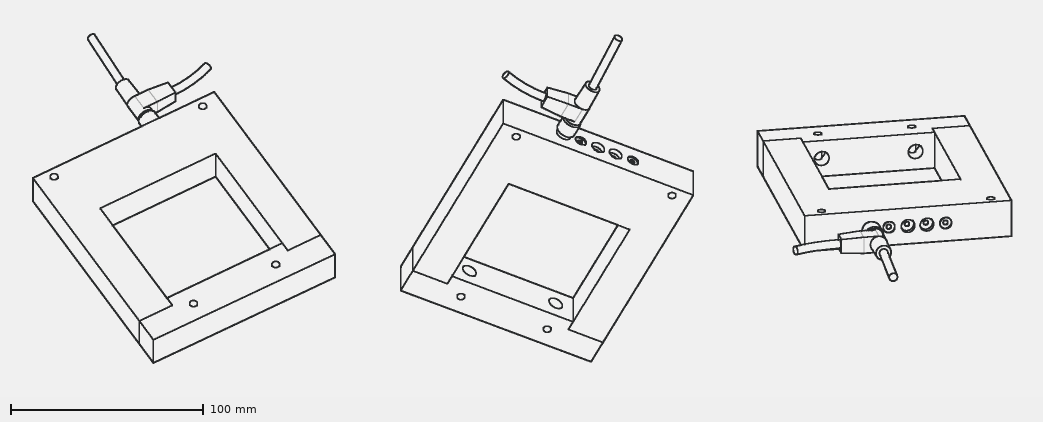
import cadquery as cq
import math


overall_length = 193.2
thickness = 20.0
frame_width = 110.0
frame_length = 123.3
end_face_slant = 0.4
opening_start = 35.0
opening_width = 70.0
opening_end = 103.0
leg_length = 108.5

mount_hole_diameter = 4.0
frame_mount_x = 5.0
frame_mount_y = 45.0
bar_mount_x = 113.2
bar_mount_y = 25.0

sensor_hole_diameter = 7.7
sensor_hole_depth = 10.0
sensor_hole_y = bar_mount_y

indicator_diameter = 1.5
indicator_depth = 0.4
indicator_y = 32.8

port_pitch = 10.0
port_bore_diameter = 2.5
port_bore_depth = 0.5
large_port_diameter = 7.1
large_port_depth = 2.7
small_port_diameter = 6.2
small_port_depth = 0.8
connector_y = 2 * port_pitch

stub_length = 2.7
stub_diameter = 8.0
nut_length = 7.3
nut_diameter = 10.0
neck_length = 1.2
neck_diameter = 6.2

core_length = 11.2
core_diameter = 9.0
arm_width = 9.3
arm_straight_length = 8.1
arm_taper_length = 11.5
arm_end_size = 7.7

grip_length = 12.5
grip_root_diameter = 8.9
grip_end_diameter = 8.1

cable_diameter = 4.5
straight_cable_end_x = frame_length - overall_length
straight_cable_shift = 2.0
bent_cable_radius = 65.7
bent_cable_angle = 22.0

nut_start_x = -stub_length
neck_start_x = nut_start_x - nut_length
core_start_x = neck_start_x - neck_length
core_end_x = core_start_x - core_length
grip_end_x = core_end_x - grip_length
arm_center_x = core_end_x + arm_width / 2
arm_taper_y = connector_y + arm_straight_length
arm_end_y = arm_taper_y + arm_taper_length


def axial_cylinder(diameter, x_start, length, y, direction=-1):
    """Cylinder along X that starts at x_start."""
    start = cq.Vector(x_start, y, 0)
    solid = cq.Solid.makeCylinder(diameter / 2, length, start, cq.Vector(direction, 0, 0))
    return cq.Workplane(solid)


def slab(points):
    """Plate of the full thickness, centred on Z = 0."""
    return cq.Workplane("XY").polyline(points).close().extrude(thickness / 2, both=True)


def drill_mount_holes(body, x, y):
    drills = (
        cq.Workplane("XY")
        .pushPoints([(x, y), (x, -y)])
        .circle(mount_hole_diameter / 2)
        .extrude(thickness, both=True)
    )
    return body.cut(drills)


def cut_port(body, y, diameter, depth):
    """Round recess in the cable-side face with a small bore in its floor."""
    recess = axial_cylinder(diameter, 0, depth, y, direction=1)
    bore = axial_cylinder(port_bore_diameter, depth, port_bore_depth, y, direction=1)
    return body.cut(recess).cut(bore)


def make_frame():
    half_width = frame_width / 2
    half_opening = opening_width / 2
    body = slab([
        (0, -half_width),
        (leg_length, -half_width),
        (leg_length, -half_opening),
        (opening_start, -half_opening),
        (opening_start, half_opening),
        (leg_length, half_opening),
        (leg_length, half_width),
        (0, half_width),
    ])
    body = drill_mount_holes(body, frame_mount_x, frame_mount_y)
    for side in (-1, 0):
        body = cut_port(body, side * port_pitch, large_port_diameter, large_port_depth)
    for side in (-2, 1):
        body = cut_port(body, side * port_pitch, small_port_diameter, small_port_depth)
    return body


def make_end_bar():
    half_width = frame_width / 2
    half_opening = opening_width / 2
    body = slab([
        (leg_length, -half_width),
        (frame_length - end_face_slant, -half_width),
        (frame_length, half_width),
        (leg_length, half_width),
        (leg_length, half_opening),
        (opening_end, half_opening),
        (opening_end, -half_opening),
        (leg_length, -half_opening),
    ])
    body = drill_mount_holes(body, bar_mount_x, bar_mount_y)
    for y in (-sensor_hole_y, sensor_hole_y):
        sensor_hole = axial_cylinder(sensor_hole_diameter, opening_end, sensor_hole_depth, y, direction=1)
        body = body.cut(sensor_hole)
    indicator = axial_cylinder(indicator_diameter, opening_end, indicator_depth, indicator_y, direction=1)
    return body.cut(indicator)


def make_socket():
    stub = axial_cylinder(stub_diameter, 0, stub_length, connector_y)
    nut = axial_cylinder(nut_diameter, nut_start_x, nut_length, connector_y)
    neck = axial_cylinder(neck_diameter, neck_start_x, neck_length, connector_y)
    return stub.union(nut).union(neck)


def make_bent_cable():
    """Cable that leaves the arm along +Y and curves towards -X."""

    def arc_point(angle):
        turn = math.radians(angle)
        x = arm_center_x - bent_cable_radius * (1 - math.cos(turn))
        return (x, arm_end_y + bent_cable_radius * math.sin(turn))

    path = (
        cq.Workplane("XY")
        .moveTo(*arc_point(0))
        .threePointArc(arc_point(bent_cable_angle / 2), arc_point(bent_cable_angle))
    )
    start_plane = cq.Plane((arm_center_x, arm_end_y, 0), xDir=(1, 0, 0), normal=(0, 1, 0))
    return cq.Workplane(start_plane).circle(cable_diameter / 2).sweep(path)


def make_elbow_plug():
    core = axial_cylinder(core_diameter, core_start_x, core_length, connector_y)
    arm_plane = cq.Plane((arm_center_x, connector_y, 0), xDir=(1, 0, 0), normal=(0, 1, 0))
    arm = cq.Workplane(arm_plane).rect(arm_width, core_diameter).extrude(arm_straight_length)
    taper = (
        arm.faces(">Y").workplane()
        .rect(arm_width, core_diameter)
        .workplane(offset=arm_taper_length)
        .rect(arm_end_size, arm_end_size)
        .loft(combine=False)
    )
    return core.union(arm).union(taper).union(make_bent_cable())


def make_straight_plug():
    """Tapered grip against the end of the elbow plug's core, with its slightly skewed cable."""
    grip = (
        cq.Workplane("YZ", origin=(core_end_x, connector_y, 0))
        .circle(grip_root_diameter / 2)
        .workplane(offset=-grip_length)
        .circle(grip_end_diameter / 2)
        .loft()
    )
    cable = (
        cq.Workplane("YZ", origin=(grip_end_x, connector_y, 0))
        .circle(cable_diameter / 2)
        .workplane(offset=straight_cable_end_x - grip_end_x)
        .center(straight_cable_shift, 0)
        .circle(cable_diameter / 2)
        .loft()
    )
    return grip.union(cable)


frame = make_frame()
end_bar = make_end_bar()
socket = make_socket()
elbow_plug = make_elbow_plug()
straight_plug = make_straight_plug()

result = cq.Compound.makeCompound([
    frame.val(),
    end_bar.val(),
    socket.val(),
    elbow_plug.val(),
    straight_plug.val(),
])